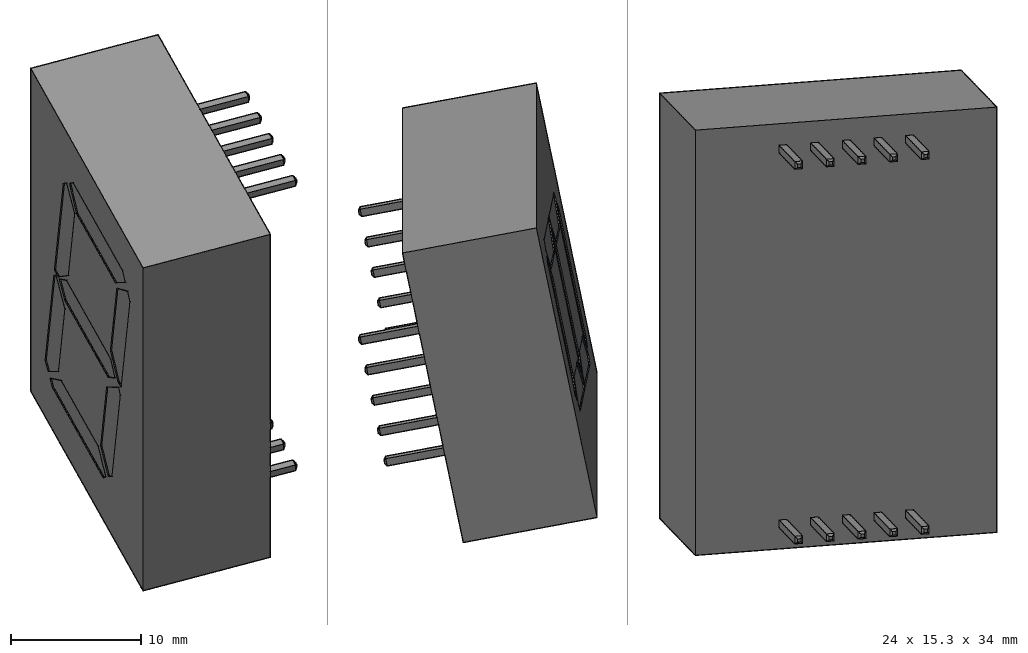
import cadquery as cq
import math

HOUSING_WIDTH = 24.0
HOUSING_HEIGHT = 34.05
OVERALL_DEPTH = 15.3
PIN_LENGTH = 4.8
HOUSING_DEPTH = OVERALL_DEPTH - PIN_LENGTH

PIN_WIDTH = 0.6
PIN_PITCH = 2.52
PINS_PER_ROW = 5
PIN_ROW_SPACING = 30.0
PIN_TIP_CHAMFER = 0.17

SEGMENT_DEPTH = 0.1
DIGIT_SLANT = math.tan(math.radians(10))
DIGIT_OFFSET = 0.15
OUTER_RAIL = 7.12
INNER_RAIL = 4.5
DIGIT_TOP = 12.9
DIGIT_BOTTOM = -12.57
TOP_BAR_LOWER_EDGE = 10.3
MIDDLE_BAR_UPPER_EDGE = 1.35
MIDDLE_BAR_LOWER_EDGE = -1.05
BOTTOM_BAR_UPPER_EDGE = -10.2

SEGMENTS = {
    "top": [
        (-6.0, 12.15),
        (-5.38, DIGIT_TOP),
        (5.2, DIGIT_TOP),
        (5.93, 12.15),
        (4.15, TOP_BAR_LOWER_EDGE),
        (-4.15, TOP_BAR_LOWER_EDGE),
    ],
    "middle": [
        (-6.05, 0.15),
        (-4.75, MIDDLE_BAR_UPPER_EDGE),
        (4.7, MIDDLE_BAR_UPPER_EDGE),
        (5.85, 0.17),
        (4.6, MIDDLE_BAR_LOWER_EDGE),
        (-4.65, MIDDLE_BAR_LOWER_EDGE),
    ],
    "bottom": [
        (-5.9, -12.05),
        (-3.8, BOTTOM_BAR_UPPER_EDGE),
        (4.1, BOTTOM_BAR_UPPER_EDGE),
        (6.0, -11.95),
        (5.6, DIGIT_BOTTOM),
        (-5.3, DIGIT_BOTTOM),
    ],
    "upper left": [
        (-6.55, 11.65),
        (-OUTER_RAIL, 10.97),
        (-OUTER_RAIL, 0.2),
        (-6.27, 0.2),
        (-INNER_RAIL, 2.2),
        (-INNER_RAIL, 9.95),
    ],
    "upper right": [
        (6.5, 11.65),
        (OUTER_RAIL, 11.0),
        (OUTER_RAIL, 0.35),
        (6.4, 0.35),
        (INNER_RAIL, 2.25),
        (INNER_RAIL, 9.95),
    ],
    "lower left": [
        (-6.75, -0.05),
        (-OUTER_RAIL, -0.55),
        (-OUTER_RAIL, -11.07),
        (-6.35, -11.68),
        (-INNER_RAIL, -9.78),
        (-INNER_RAIL, -1.95),
    ],
    "lower right": [
        (6.45, -11.48),
        (OUTER_RAIL, -10.83),
        (OUTER_RAIL, -0.68),
        (6.68, -0.15),
        (INNER_RAIL, -2.4),
        (INNER_RAIL, -9.67),
    ],
}


def slanted(corner):
    """Lean a corner of the upright digit to the right in proportion to its height."""
    across, height = corner
    return (DIGIT_OFFSET + across + height * DIGIT_SLANT, height)


def make_housing():
    """Block with its front face on Y = 0, centred on X and Z."""
    return cq.Workplane("XY").box(
        HOUSING_WIDTH, HOUSING_DEPTH, HOUSING_HEIGHT, centered=(True, False, True)
    )


def make_segment_recess(corners):
    """Shallow prism running from the front face into the housing."""
    outline = [slanted(corner) for corner in corners]
    return cq.Workplane("XZ").polyline(outline).close().extrude(-SEGMENT_DEPTH)


def make_pins():
    """Both pin rows, standing on the back face with chamfered tips."""
    back_face = cq.Workplane("XZ", origin=(0, HOUSING_DEPTH, 0))
    return (
        back_face.rarray(PIN_PITCH, PIN_ROW_SPACING, PINS_PER_ROW, 2)
        .rect(PIN_WIDTH, PIN_WIDTH)
        .extrude(-PIN_LENGTH)
        .faces(">Y")
        .chamfer(PIN_TIP_CHAMFER)
    )


result = make_housing()
for segment_corners in SEGMENTS.values():
    result = result.cut(make_segment_recess(segment_corners))
result = result.union(make_pins())